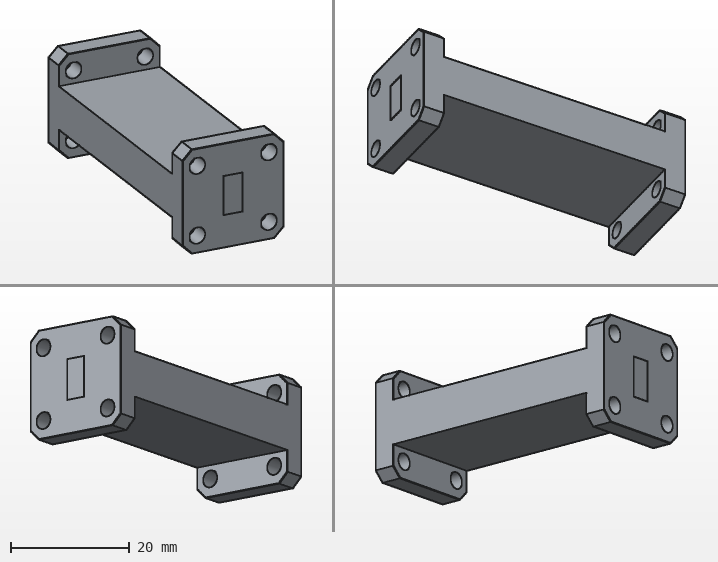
import cadquery as cq

length = 50.8
flange_side = 19.05
flange_thickness = 4.0
corner_chamfer = 1.8
edge_break = 0.1

bar_height = 7.9
bar_length = length - flange_thickness

bolt_spacing_y = 13.45
bolt_spacing_z = 12.7
bolt_diameter = 2.95

guide_width = 3.55
guide_height = 2 * guide_width
guide_depth = 0.1


def make_flange(start_x):
    """Square flange from start_x towards +X, with cut corners, broken rims and bolt holes."""
    plate = (
        cq.Workplane("YZ", origin=(start_x, 0, 0))
        .rect(flange_side, flange_side)
        .extrude(flange_thickness)
        .edges("|X")
        .chamfer(corner_chamfer)
        .faces("<X or >X")
        .edges()
        .chamfer(edge_break)
    )
    bolt_holes = (
        cq.Workplane("YZ", origin=(start_x, 0, 0))
        .rect(bolt_spacing_y, bolt_spacing_z, forConstruction=True)
        .vertices()
        .circle(bolt_diameter / 2)
        .extrude(flange_thickness)
    )
    return plate.cut(bolt_holes)


body = cq.Workplane("XY").box(bar_length, flange_side, bar_height)
for flange_start in (-length / 2, length / 2 - flange_thickness):
    body = body.union(make_flange(flange_start))

for recess_start in (-length / 2, length / 2 - guide_depth):
    recess = (
        cq.Workplane("YZ", origin=(recess_start, 0, 0))
        .rect(guide_width, guide_height)
        .extrude(guide_depth)
    )
    body = body.cut(recess)

result = body